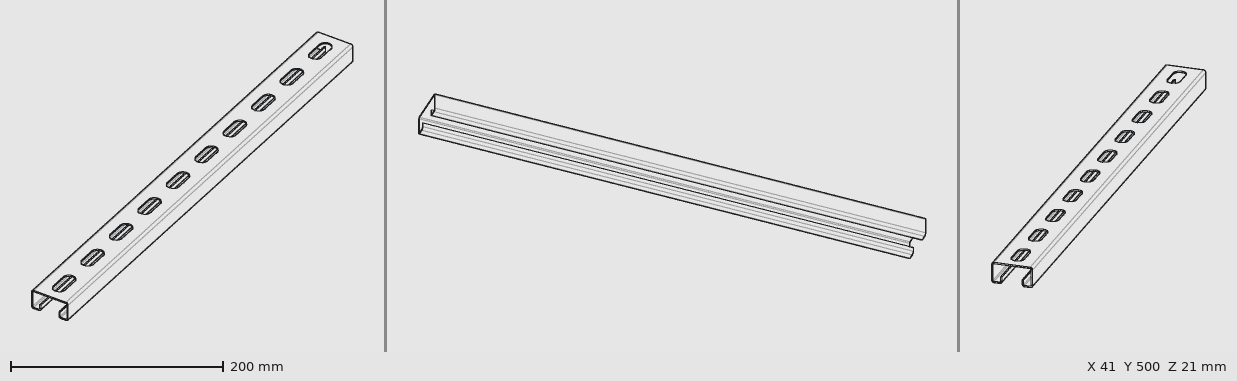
import cadquery as cq

width = 41.0
height = 21.0
length = 500.0
thickness = 1.5
outer_bend_radius = 2.5
inner_bend_radius = outer_bend_radius - thickness

opening_width = 20.0
lip_height = 7.0

slot_count = 10
slot_pitch = length / slot_count
slot_length = 30.0
slot_width = 13.0


def long_bar(x_min, x_max, z_min, z_max):
    """Square-edged bar running the full length of the channel."""
    bar = cq.Workplane("XY").box(x_max - x_min, length, z_max - z_min)
    return bar.translate(((x_min + x_max) / 2, 0, (z_min + z_max) / 2))


def round_tube(x_min, x_max, z_min, z_max):
    """Rectangular tube of sheet thickness with four rounded bends."""
    outside = long_bar(x_min, x_max, z_min, z_max).edges("|Y").fillet(outer_bend_radius)
    inside = long_bar(
        x_min + thickness,
        x_max - thickness,
        z_min + thickness,
        z_max - thickness,
    )
    return outside.cut(inside.edges("|Y").fillet(inner_bend_radius))


def make_channel():
    """Sheet-metal channel: web on top, two walls, bottom flanges and turned-up lips."""
    wall_x = width / 2
    lip_x = opening_width / 2
    web_z = height / 2
    lip_top_z = lip_height - height / 2

    channel = round_tube(-wall_x, wall_x, -web_z, web_z)

    split_x = (wall_x + lip_x) / 2
    channel = channel.cut(long_bar(-split_x, split_x, -web_z, 0))

    lip_tube = round_tube(lip_x, wall_x, -web_z, web_z)
    lip = lip_tube.intersect(long_bar(lip_x, split_x, -web_z, lip_top_z))
    return channel.union(lip).union(lip.mirror("YZ")).clean()


def make_slots():
    """Row of rounded slots through the web, evenly pitched along the length."""
    return (
        cq.Workplane("XY")
        .rarray(1, slot_pitch, 1, slot_count)
        .slot2D(slot_length, slot_width, 90)
        .extrude(height / 2)
    )


result = make_channel().cut(make_slots())